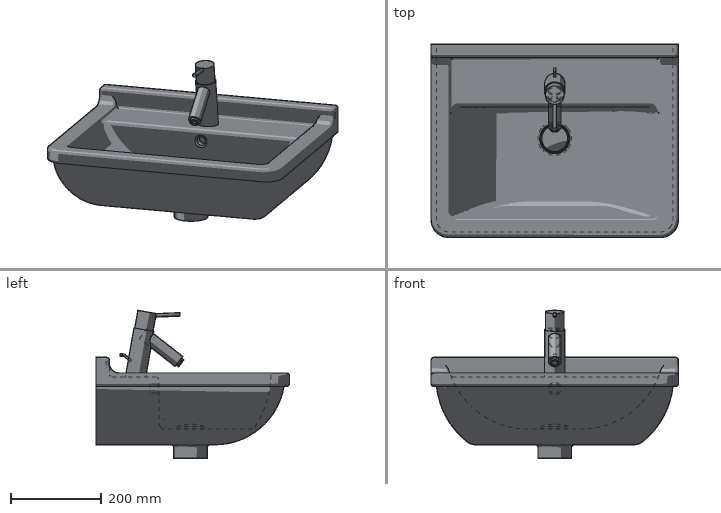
import cadquery as cq
import math

WIDTH = 550.0
DEPTH = 430.0
RIM_Z = 160.0
LIP_THICKNESS = 30.0
LIP_Z = RIM_Z - LIP_THICKNESS
RIM_CORNER_RADIUS = 40.0
RIM_TOP_FILLET = 7.0
RIM_UNDER_FILLET = 6.0

SPLASH_TOP_Z = 194.5
SPLASH_THICKNESS = 30.0
COVE_RADIUS = 21.0
COVE_RISE = 17.5
COVE_RUN = math.sqrt(COVE_RADIUS**2 - (COVE_RADIUS - COVE_RISE) ** 2)

SHELL_HALF_WIDTH = 263.0
SHELL_BASE_HALF_WIDTH = 185.5
SHELL_SIDE_RADIUS = 181.5
SHELL_FRONT_RADIUS = 156.0
SHELL_BASE_DEPTH = 264.0
SHELL_CORNER_FILLET = 30.0

FLOOR_Z = 34.5
FLOOR_HALF_WIDTH = 58.0
BOWL_SIDE_RADIUS = 186.0
BOWL_BACK = 139.5
BOWL_FRONT = 389.0
BOWL_FRONT_RADIUS = 220.0
BOWL_FILLET = 15.0
SHELF_DROP = 9.0
SHELF_Z = RIM_Z - SHELF_DROP
SHELF_EDGE_FILLET = 8.0
OPENING_FILLET = 6.0
SHELF_CORNER_FILLET = 5.0

OVERFLOW_Z = 125.0
OVERFLOW_DIAMETER = 20.0
OVERFLOW_MOUTH_DIAMETER = 28.0
OVERFLOW_MOUTH_DEPTH = 2.0
OVERFLOW_DEPTH = 20.0

DRAIN_Y = -210.0
OUTLET_DIAMETER = 75.0
OUTLET_LENGTH = 30.0
OUTLET_FILLET = 6.0

PLUG_FLANGE_DIAMETER = 67.0
PLUG_FLANGE_HEIGHT = 2.0
PLUG_CAP_BASE_DIAMETER = 62.5
PLUG_CAP_DIAMETER = 58.0
PLUG_CAP_EDGE = 6.0
PLUG_TOP = 11.5

TAP_Y = -89.5
TAP_TILT = 10.0
TAP_RISE_ANGLE = 90 - TAP_TILT
TAP_DIAMETER = 45.0
TAP_LENGTH = 97.5
HANDLE_DIAMETER = 42.0
HANDLE_LENGTH = 40.0

SPOUT_RISE_ANGLE = -38.0
SPOUT_START = 88.5
SPOUT_DIAMETER = 28.0
SPOUT_LENGTH = 100.5
AERATOR_DIAMETER = 20.0
AERATOR_LENGTH = 6.5
AERATOR_BORE = 15.0
AERATOR_BORE_DEPTH = 3.5

LEVER_DIAMETER = 8.0
LEVER_RISE_ANGLE = 2.5
LEVER_TIP_Y = -186.5
LEVER_TIP_Z = 290.0
LEVER_LENGTH = 58.0

KNOB_DIAMETER = 6.0
KNOB_LENGTH = 6.0
KNOB_END_Y = -53.5
KNOB_Z = 199.5
ROD_DIAMETER = 5.0
ROD_LEVEL_LENGTH = 3.5
ROD_SLANT_ANGLE = -42.0
ROD_SLANT_LENGTH = 20.0


def point_along(y, z, rise_angle, distance):
    """Point reached from (y, z) going toward -Y while rising at the given angle."""
    slope = math.radians(rise_angle)
    return y - distance * math.cos(slope), z + distance * math.sin(slope)


def round_bar(start, rise_angle, diameter, length):
    """Cylinder in the plane X = 0 that goes from start toward -Y while rising at the given angle."""
    axis_y, axis_z = point_along(0, 0, rise_angle, 1)
    origin = cq.Vector(0, *start)
    return cq.Workplane(cq.Solid.makeCylinder(diameter / 2, length, origin, cq.Vector(0, axis_y, axis_z)))


def box_between(half_width, y_range, z_range):
    """Box symmetric about X = 0."""
    y_low, y_high = y_range
    z_low, z_high = z_range
    box = cq.Workplane().box(2 * half_width, y_high - y_low, z_high - z_low, centered=(True, False, False))
    return box.translate((0, y_low, z_low))


def fillet_where(body, radius, test):
    """Round the edges whose centre passes the test."""
    edges = [edge for edge in body.edges().vals() if test(edge.Center())]
    return body.newObject(edges).fillet(radius)


def near(value, target):
    return abs(value - target) < 0.05




def make_rim():
    """Rim plate with its splashback, one side outline carried across the full width."""
    rim = (
        cq.Workplane("YZ")
        .moveTo(0, LIP_Z)
        .lineTo(-DEPTH, LIP_Z)
        .lineTo(-DEPTH, RIM_Z)
        .lineTo(-SPLASH_THICKNESS - COVE_RUN, RIM_Z)
        .radiusArc((-SPLASH_THICKNESS, RIM_Z + COVE_RISE), -COVE_RADIUS)
        .lineTo(-SPLASH_THICKNESS, SPLASH_TOP_Z)
        .lineTo(0, SPLASH_TOP_Z)
        .close()
        .extrude(WIDTH / 2, both=True)
    )
    rim = rim.edges("|Z and <Y").fillet(RIM_CORNER_RADIUS)

    def is_under_edge(centre):
        return near(centre.z, LIP_Z) and not near(centre.y, 0)

    def is_upper_edge(centre):
        on_side = near(abs(centre.x), WIDTH / 2) and centre.z > RIM_Z - 0.05
        on_front = near(centre.z, RIM_Z) and centre.y < -DEPTH + RIM_CORNER_RADIUS
        return (on_side or on_front or near(centre.z, SPLASH_TOP_Z)) and not near(centre.y, 0)

    rim = fillet_where(rim, RIM_UNDER_FILLET, is_under_edge)
    return fillet_where(rim, RIM_TOP_FILLET, is_upper_edge)


def make_shell():
    """Curved underside: a width outline and a depth outline intersected, with rounded corners."""
    width_solid = (
        cq.Workplane("XZ")
        .moveTo(-SHELL_BASE_HALF_WIDTH, 0)
        .lineTo(SHELL_BASE_HALF_WIDTH, 0)
        .radiusArc((SHELL_HALF_WIDTH, LIP_Z), -SHELL_SIDE_RADIUS)
        .lineTo(-SHELL_HALF_WIDTH, LIP_Z)
        .radiusArc((-SHELL_BASE_HALF_WIDTH, 0), -SHELL_SIDE_RADIUS)
        .close()
        .extrude(DEPTH)
    )
    front_run = math.sqrt(SHELL_FRONT_RADIUS**2 - (SHELL_FRONT_RADIUS - LIP_Z) ** 2)
    depth_solid = (
        cq.Workplane("YZ")
        .lineTo(-SHELL_BASE_DEPTH, 0)
        .radiusArc((-SHELL_BASE_DEPTH - front_run, LIP_Z), SHELL_FRONT_RADIUS)
        .lineTo(0, LIP_Z)
        .close()
        .extrude(WIDTH / 2, both=True)
    )

    def is_corner_edge(centre):
        return not near(centre.x, 0) and not near(centre.y, 0) and centre.z < LIP_Z - 0.05

    return fillet_where(width_solid.intersect(depth_solid), SHELL_CORNER_FILLET, is_corner_edge)


def make_inner_space():
    """Bowl and shelf space before they are told apart, open at the top."""
    side_centre_z = FLOOR_Z + BOWL_SIDE_RADIUS
    side_run = math.sqrt(BOWL_SIDE_RADIUS**2 - (side_centre_z - SPLASH_TOP_Z) ** 2)
    top_half_width = FLOOR_HALF_WIDTH + side_run
    width_solid = (
        cq.Workplane("XZ", origin=(0, -SPLASH_THICKNESS, 0))
        .moveTo(-FLOOR_HALF_WIDTH, FLOOR_Z)
        .lineTo(FLOOR_HALF_WIDTH, FLOOR_Z)
        .radiusArc((top_half_width, SPLASH_TOP_Z), -BOWL_SIDE_RADIUS)
        .lineTo(-top_half_width, SPLASH_TOP_Z)
        .radiusArc((-FLOOR_HALF_WIDTH, FLOOR_Z), -BOWL_SIDE_RADIUS)
        .close()
        .extrude(DEPTH)
    )
    front_centre = BOWL_FRONT - BOWL_FRONT_RADIUS
    floor_front = front_centre + math.sqrt(BOWL_FRONT_RADIUS**2 - (RIM_Z - FLOOR_Z) ** 2)
    top_front = front_centre + math.sqrt(BOWL_FRONT_RADIUS**2 - (SPLASH_TOP_Z - RIM_Z) ** 2)
    depth_solid = (
        cq.Workplane("YZ")
        .moveTo(0, FLOOR_Z)
        .lineTo(-floor_front, FLOOR_Z)
        .radiusArc((-top_front, SPLASH_TOP_Z), BOWL_FRONT_RADIUS)
        .lineTo(0, SPLASH_TOP_Z)
        .close()
        .extrude(WIDTH / 2, both=True)
    )

    def is_front_edge(centre):
        return centre.y < -floor_front + 0.05 and not near(centre.z, SPLASH_TOP_Z)

    return fillet_where(width_solid.intersect(depth_solid), BOWL_FILLET, is_front_edge)


def make_bowl_and_shelf():
    inner_space = make_inner_space()

    bowl = inner_space.intersect(box_between(WIDTH / 2, (-DEPTH, -BOWL_BACK), (0, SPLASH_TOP_Z)))
    bowl = fillet_where(
        bowl, BOWL_FILLET, lambda centre: near(centre.y, -BOWL_BACK) and not near(centre.z, SPLASH_TOP_Z)
    )

    shelf_front = -BOWL_BACK - 2 * BOWL_FILLET
    shelf = inner_space.intersect(box_between(WIDTH / 2, (shelf_front, 0), (SHELF_Z, SPLASH_TOP_Z)))
    shelf = fillet_where(
        shelf,
        SHELF_CORNER_FILLET,
        lambda centre: near(centre.z, SHELF_Z) and not near(centre.y, shelf_front),
    )

    def is_shelf_front_edge(centre):
        return near(centre.z, SHELF_Z) and -BOWL_BACK - BOWL_FILLET < centre.y < -BOWL_BACK + 0.05

    return fillet_where(bowl.union(shelf), SHELF_EDGE_FILLET, is_shelf_front_edge)


def cut_overflow(basin):
    """Blind overflow hole with a flared mouth."""
    hole = (
        cq.Workplane("XZ", origin=(0, -BOWL_BACK, OVERFLOW_Z))
        .circle(OVERFLOW_DIAMETER / 2)
        .extrude(-OVERFLOW_DEPTH)
    )
    mouth = cq.Solid.makeCone(
        OVERFLOW_MOUTH_DIAMETER / 2,
        OVERFLOW_DIAMETER / 2,
        OVERFLOW_MOUTH_DEPTH,
        cq.Vector(0, -BOWL_BACK, OVERFLOW_Z),
        cq.Vector(0, 1, 0),
    )
    return basin.cut(hole).cut(cq.Workplane(mouth))


def add_outlet(basin):
    outlet = (
        cq.Workplane("XY", origin=(0, DRAIN_Y, 0))
        .circle(OUTLET_DIAMETER / 2)
        .extrude(-OUTLET_LENGTH)
    )

    def is_outlet_root(centre):
        return near(centre.x, 0) and near(centre.y, DRAIN_Y) and near(centre.z, 0)

    return fillet_where(basin.union(outlet), OUTLET_FILLET, is_outlet_root)


def make_basin():
    basin = make_rim().union(make_shell()).cut(make_bowl_and_shelf())

    def is_opening_edge(centre):
        inside_rim = abs(centre.x) < SHELL_HALF_WIDTH - SHELL_CORNER_FILLET + 5.5
        return near(centre.z, RIM_Z) and inside_rim and -BOWL_FRONT - 0.05 < centre.y

    basin = fillet_where(basin, OPENING_FILLET, is_opening_edge)
    return add_outlet(cut_overflow(basin))




def make_plug():
    """Turned plug that stands on the bowl floor: flange, tapered side and domed cap."""
    cap_base_radius = PLUG_CAP_BASE_DIAMETER / 2
    flange_radius = PLUG_FLANGE_DIAMETER / 2
    cap_radius = PLUG_CAP_DIAMETER / 2
    dome_height = PLUG_TOP - PLUG_CAP_EDGE
    dome_radius = (cap_radius**2 + dome_height**2) / (2 * dome_height)
    return (
        cq.Workplane("XZ", origin=(0, DRAIN_Y, FLOOR_Z))
        .lineTo(flange_radius, 0)
        .lineTo(flange_radius, PLUG_FLANGE_HEIGHT)
        .lineTo(cap_base_radius, PLUG_FLANGE_HEIGHT)
        .lineTo(cap_radius, PLUG_CAP_EDGE)
        .radiusArc((0, PLUG_TOP), -dome_radius)
        .close()
        .revolve(360, (0, 0, 0), (0, 1, 0))
    )




def tap_axis_point(distance):
    return point_along(TAP_Y, RIM_Z, TAP_RISE_ANGLE, distance)


def make_spout():
    return round_bar(tap_axis_point(SPOUT_START), SPOUT_RISE_ANGLE, SPOUT_DIAMETER, SPOUT_LENGTH)


def make_aerator():
    start = point_along(*tap_axis_point(SPOUT_START), SPOUT_RISE_ANGLE, SPOUT_LENGTH)
    bore_start = point_along(*start, SPOUT_RISE_ANGLE, AERATOR_LENGTH - AERATOR_BORE_DEPTH)
    aerator = round_bar(start, SPOUT_RISE_ANGLE, AERATOR_DIAMETER, AERATOR_LENGTH)
    return aerator.cut(round_bar(bore_start, SPOUT_RISE_ANGLE, AERATOR_BORE, AERATOR_BORE_DEPTH))


def make_lever():
    root = point_along(LEVER_TIP_Y, LEVER_TIP_Z, LEVER_RISE_ANGLE, -LEVER_LENGTH)
    return round_bar(root, LEVER_RISE_ANGLE, LEVER_DIAMETER, LEVER_LENGTH)


def make_pull_rod():
    knob_start = (KNOB_END_Y, KNOB_Z)
    level_start = point_along(*knob_start, 0, KNOB_LENGTH)
    bend = point_along(*level_start, 0, ROD_LEVEL_LENGTH)
    elbow = cq.Workplane("XY", origin=(0, *bend)).sphere(ROD_DIAMETER / 2)
    return (
        round_bar(knob_start, 0, KNOB_DIAMETER, KNOB_LENGTH)
        .union(round_bar(level_start, 0, ROD_DIAMETER, ROD_LEVEL_LENGTH))
        .union(elbow)
        .union(round_bar(bend, ROD_SLANT_ANGLE, ROD_DIAMETER, ROD_SLANT_LENGTH))
    )


def make_tap_body(spout, pull_rod):
    """Leaning column cut level at the shelf, with recesses for the spout and the pull rod."""
    start_below = 2 * SHELF_DROP
    column = round_bar(
        tap_axis_point(-start_below), TAP_RISE_ANGLE, TAP_DIAMETER, TAP_LENGTH + start_below
    )
    below_shelf = box_between(TAP_DIAMETER, (-BOWL_BACK, 0), (0, SHELF_Z))
    return column.cut(below_shelf).cut(spout).cut(pull_rod)


def make_handle(lever):
    return round_bar(tap_axis_point(TAP_LENGTH), TAP_RISE_ANGLE, HANDLE_DIAMETER, HANDLE_LENGTH).cut(lever)


basin = make_basin()
plug = make_plug()
spout = make_spout()
aerator = make_aerator()
lever = make_lever()
pull_rod = make_pull_rod()
tap_body = make_tap_body(spout, pull_rod)
handle = make_handle(lever)

result = cq.Compound.makeCompound(
    [
        basin.val(),
        plug.val(),
        tap_body.val(),
        handle.val(),
        lever.val(),
        spout.val(),
        aerator.val(),
        pull_rod.val(),
    ]
)